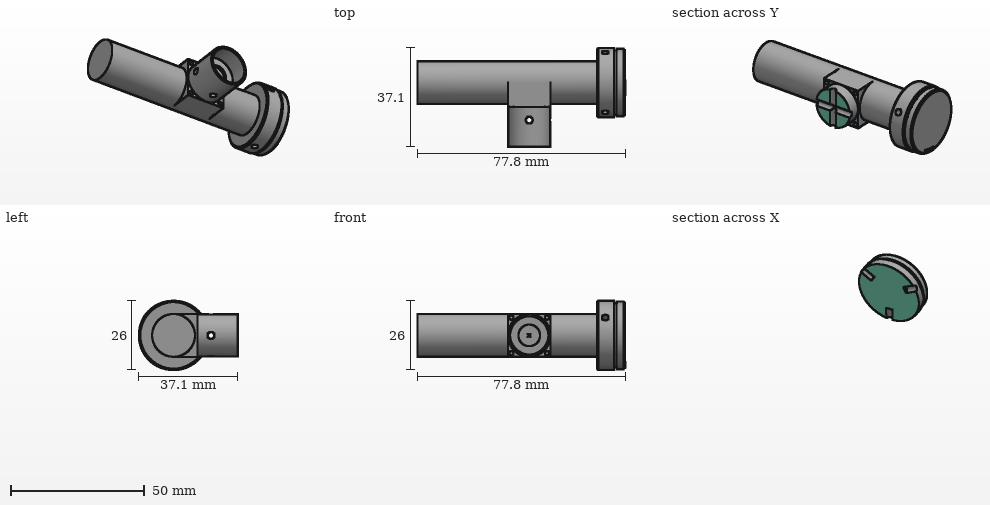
import cadquery as cq
import math

overall_length = 77.8
tube_radius = 8.0

branch_x = 41.85
block_width = 2 * tube_radius
block_reach = 9.0
socket_reach = 24.05
socket_radius = 7.9
socket_bore_radius = 7.15
socket_bore_depth = 7.55
socket_floor_reach = socket_reach - socket_bore_depth
inner_bore_radius = 4.05
inner_bore_depth = 1.0

cross_hole_diameter = 2.5
cross_hole_reach = 14.0

corner_hole_pitch = 13.3
corner_hole_diameter = 1.6
corner_hole_depth = 2.0

mark_height = 0.195
collar_radius = 13.0
collar_length = 6.45
groove_radius = 12.05
groove_length = 0.85
flange_radius = 12.7
flange_length = 3.1
head_chamfer = 0.55
head_end_x = overall_length - mark_height
flange_x = head_end_x - flange_length
collar_x = flange_x - groove_length - collar_length

screw_count = 3
screw_first_angle = 29.0
screw_hole_diameter = 2.5
screw_hole_offset = 3.1

mark_inner_radius = 10.9
mark_outer_radius = 12.05
mark_start_angle = 247.0
mark_end_angle = 274.0


def disc(start_x, length, radius):
    """Solid cylinder along +X, centred on the tube axis."""
    return cq.Workplane("YZ", origin=(start_x, 0, 0)).circle(radius).extrude(length)


def branch_disc(start_reach, length, radius):
    """Solid cylinder along -Y on the branch axis."""
    return cq.Workplane("XZ", origin=(branch_x, -start_reach, 0)).circle(radius).extrude(length)


def head():
    collar = disc(collar_x, collar_length, collar_radius).faces("<X").chamfer(head_chamfer)
    groove = disc(collar_x + collar_length, groove_length, groove_radius)
    flange = disc(flange_x, flange_length, flange_radius).faces(">X").chamfer(head_chamfer)
    return collar.union(groove).union(flange)


def end_mark():
    def polar(radius, degrees):
        angle = math.radians(degrees)
        return (radius * math.cos(angle), radius * math.sin(angle))

    middle_angle = (mark_start_angle + mark_end_angle) / 2
    return (
        cq.Workplane("YZ", origin=(head_end_x, 0, 0))
        .moveTo(*polar(mark_outer_radius, mark_start_angle))
        .threePointArc(polar(mark_outer_radius, middle_angle), polar(mark_outer_radius, mark_end_angle))
        .lineTo(*polar(mark_inner_radius, mark_end_angle))
        .threePointArc(polar(mark_inner_radius, middle_angle), polar(mark_inner_radius, mark_start_angle))
        .close()
        .extrude(mark_height)
    )


def branch():
    block = (
        cq.Workplane("XZ", origin=(branch_x, 0, 0))
        .rect(block_width, block_width)
        .extrude(block_reach)
    )
    return block.union(branch_disc(block_reach, socket_reach - block_reach, socket_radius))


def socket_bores():
    """Open socket bore with a shallow, narrower recess in its floor."""
    bore = branch_disc(socket_floor_reach, socket_bore_depth, socket_bore_radius)
    recess_start = socket_floor_reach - inner_bore_depth
    return bore.union(branch_disc(recess_start, inner_bore_depth, inner_bore_radius))


def corner_holes():
    return (
        cq.Workplane("XZ", origin=(branch_x, corner_hole_depth - block_reach, 0))
        .rect(corner_hole_pitch, corner_hole_pitch, forConstruction=True)
        .vertices()
        .circle(corner_hole_diameter / 2)
        .extrude(corner_hole_depth)
    )


def cross_holes():
    center = (branch_x, -cross_hole_reach, 0)
    radius = cross_hole_diameter / 2
    along_x = cq.Workplane("YZ", origin=center).circle(radius).extrude(socket_radius, both=True)
    along_z = cq.Workplane("XY", origin=center).circle(radius).extrude(socket_radius, both=True)
    return along_x.union(along_z)


def screw_hole(degrees):
    """Radial hole from the collar surface down to the tube surface."""
    return (
        cq.Workplane("XZ", origin=(collar_x + screw_hole_offset, collar_radius, 0))
        .circle(screw_hole_diameter / 2)
        .extrude(collar_radius - tube_radius)
        .rotate((0, 0, 0), (1, 0, 0), degrees)
    )


result = disc(0, head_end_x, tube_radius).union(head()).union(end_mark()).union(branch())
result = result.cut(socket_bores()).cut(corner_holes()).cut(cross_holes())
for index in range(screw_count):
    result = result.cut(screw_hole(screw_first_angle + index * 360 / screw_count))